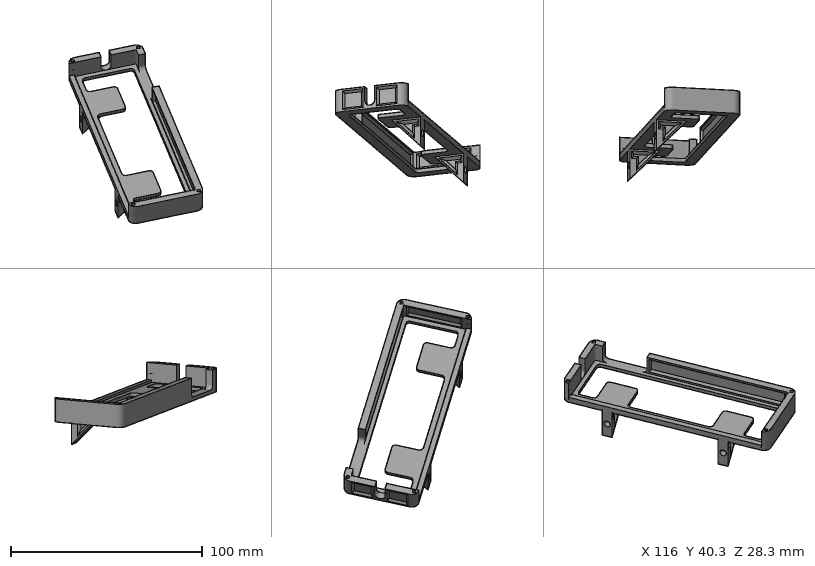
import cadquery as cq
import math

length = 116.0
width = 40.3
height = 12.3
corner_radius = 4.0
inner_corner_radius = 0.41
wall = 3.6
back_wall = 3.8
ledge_thickness = 2.0
rail_width = 2.9
rail_height = 3.2

x_left = -length / 2
x_right = length / 2
y_front = -width / 2
y_back = width / 2
inner_left = x_left + wall
inner_right = x_right - wall
inner_back = y_back - back_wall

window_margin = 6.0
window_radius = 2.0
tab_width = 17.5
tab_reach = 22.0
tab_spacing = 65.3
tab_centres = (-tab_spacing / 2, tab_spacing / 2)

back_gap_start = x_left + 7.8
back_gap_end = x_left + 32.8
slot_width = 5.5
slot_radius = 2.5
back_gap_radius = 2.2

rim = 1.0
recess_depth = 1.2

corner_hole_diameter = 1.7
corner_hole_inset = 2.3
corner_hole_depth = 5.8

leg_width = 5.7
leg_drop = 16.0
leg_rim = 0.9
leg_recess_depth = 1.5
leg_hole_drop = 8.0
leg_hole_depth = 3.5
leg_hole_radius = 1.7
leg_hole_end_radius = 1.4
leg_post = 3.5
leg_post_top = 4.9


def box(x0, x1, y0, y1, z0, z1):
    return cq.Workplane("XY").box(x1 - x0, y1 - y0, z1 - z0, centered=False).translate((x0, y0, z0))


def make_window():
    """The opening through the floor, leaving the two tabs standing."""
    x_edge = x_right - window_margin
    window = box(-x_edge, x_edge, y_front + window_margin, y_back - window_margin, 0, ledge_thickness)
    for x in tab_centres:
        half = tab_width / 2
        window = window.cut(box(x - half, x + half, y_front, y_front + tab_reach, 0, ledge_thickness))
    return window.edges("|Z").fillet(window_radius)


def make_frame():
    """A floor with walls on three sides and a low rail along the front."""
    frame = box(x_left, x_right, y_front, y_back, 0, height).edges("|Z").fillet(corner_radius)
    interior = box(inner_left, inner_right, y_front, inner_back, ledge_thickness, height)
    frame = frame.cut(interior.edges("|Z and >Y").fillet(inner_corner_radius))
    rail = box(inner_left, inner_right, y_front, y_front + rail_width, ledge_thickness, rail_height)
    frame = frame.union(rail)
    return frame.cut(make_window())


def make_gap(x0, x1, y0, y1, bottom_edges, radius):
    """An opening down to the ledge, rounded along its bottom edges."""
    gap = box(x0, x1, y0, y1, ledge_thickness, height)
    return gap.faces("<Z").edges(bottom_edges).fillet(radius)


def bevelled_recess(plane, outline, depth):
    """A recess with 45 degree sides, sunk along the plane's normal."""
    return cq.Workplane(plane).polyline(outline).close().extrude(depth, taper=45)


def wall_recess(origin, x_dir, inward, u0, u1, z0):
    """A rectangular recess from u0 to u1 along x_dir, up to the rim below the wall's top."""
    z1 = height - rim
    plane = cq.Plane(origin=origin, xDir=x_dir, normal=inward)
    v_sign = plane.yDir.z
    outline = [(u0, v_sign * z0), (u1, v_sign * z0), (u1, v_sign * z1), (u0, v_sign * z1)]
    return bevelled_recess(plane, outline, recess_depth)


def make_wall_recesses():
    """Recesses inside the back and right walls, and outside the left wall beside its slot."""
    y_near = y_front + corner_radius + rim
    y_far = y_back - corner_radius - rim
    slot_rim = slot_width / 2 + rim
    inside_rim = inner_corner_radius + rim
    inside_bottom = ledge_thickness + rim
    along_x = (1, 0, 0)
    along_y = (0, 1, 0)
    back_ends = (back_gap_end + rim, inner_right - inside_rim)
    right_ends = (y_near, inner_back - inside_rim)
    recesses = [
        wall_recess((0, inner_back, 0), along_x, along_y, *back_ends, inside_bottom),
        wall_recess((inner_right, 0, 0), along_y, along_x, *right_ends, inside_bottom),
    ]
    for left_ends in ((y_near, -slot_rim), (slot_rim, y_far)):
        recesses.append(wall_recess((x_left, 0, 0), along_y, along_x, *left_ends, rim))
    return recesses


def make_leg(x):
    """A right-angled bracket with a recess in each side and a blind hole in front."""
    half = leg_width / 2
    profile = [(y_front, 0), (y_front + leg_drop, 0), (y_front, -leg_drop)]
    leg = cq.Workplane("YZ", origin=(x - half, 0, 0)).polyline(profile).close().extrude(leg_width)

    slope_end = leg_drop - leg_rim * math.sqrt(2)
    y_rim = y_front + leg_rim
    y_post = y_front + leg_post
    y_tip = y_front + slope_end - leg_rim
    band = [
        (y_rim, -leg_rim),
        (y_tip, -leg_rim),
        (y_front + slope_end - leg_post_top, -leg_post_top),
        (y_rim, -leg_post_top),
    ]
    triangle = [(y_post, -leg_rim), (y_tip, -leg_rim), (y_post, leg_post - slope_end)]
    plane = cq.Plane(origin=(x - half, 0, 0), xDir=(0, 1, 0), normal=(1, 0, 0))
    recess = bevelled_recess(plane, band, leg_recess_depth)
    recess = recess.union(bevelled_recess(plane, triangle, leg_recess_depth))
    hole = cq.Workplane(
        cq.Solid.makeCone(
            leg_hole_radius,
            leg_hole_end_radius,
            leg_hole_depth,
            pnt=cq.Vector(x, y_front, -leg_hole_drop),
            dir=cq.Vector(0, 1, 0),
        )
    )
    return leg.cut(recess).cut(recess.mirror("YZ", (x, 0, 0))).cut(hole)


result = make_frame()
result = result.cut(make_gap(back_gap_start, back_gap_end, inner_back, y_back, "|Y", back_gap_radius))
result = result.cut(make_gap(x_left, inner_left, -slot_width / 2, slot_width / 2, "|X", slot_radius))
for recess in make_wall_recesses():
    result = result.cut(recess)

result = (
    result.faces(">Z")
    .workplane(origin=(0, 0, height))
    .rect(length - 2 * corner_hole_inset, width - 2 * corner_hole_inset, forConstruction=True)
    .vertices()
    .hole(corner_hole_diameter, corner_hole_depth)
)

for centre in tab_centres:
    result = result.union(make_leg(centre))